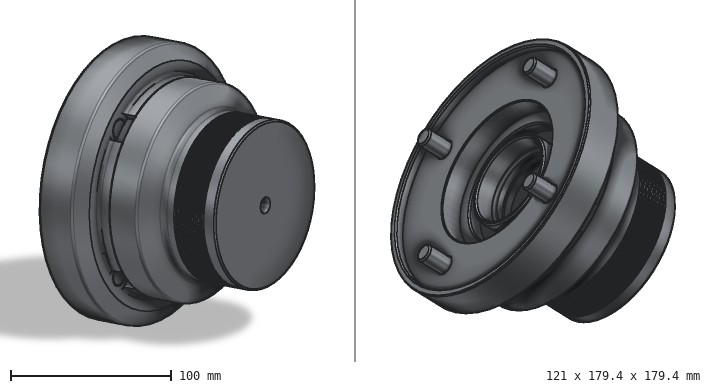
import cadquery as cq
import math


flange_radius = 89.7
flange_rear = 31.0
cone_angle = 60.0
flange_cone_start = 25.0
rim_chamfer_length = 1.0
rim_chamfer_depth = 0.5
shoulder_fillet = 2.0
edge_chamfer = 1.0

recess_radius = 84.8
recess_depth = 6.1
bore_radius = 49.5
ledge_x = 21.5
lip_bore_radius = 41.2
bore_chamfer = 0.7

collar_radius = 70.0
collar_rear = 39.6
collar_fillet = 2.2

pin_count = 4
pin_first_angle = 45.0
pin_circle_radius = 66.9
pin_radius = 6.0
pin_projection = 12.0
pin_chamfer = 1.0
pin_hole_radius = 6.6
pocket_radius = 10.0

spigot_radius = 64.7
spigot_front = flange_rear
spigot_fillet = 0.5
tail_front = 40.2
tail_cone_start = 60.2
neck_radius = 53.8
neck_fillet = 4.3
tail_end = 109.0

groove_count = 8
first_groove_x = 78.4
last_groove_x = 99.3
groove_top_width = 1.6
groove_floor_width = 0.7
groove_depth = 1.0

socket_radius = 29.0
socket_floor_x = 31.2
socket_fillet = 1.0
well_radius = 26.4
well_floor_x = 42.7
seal_groove_front = 35.9
seal_groove_width = 1.8
seal_groove_depth = 2.0
drain_radius = 5.2

sleeve_front = 16.0
sleeve_radius = 32.3
sleeve_seat_x = 29.4


cone_slope = math.tan(math.radians(cone_angle))
pin_angles = [pin_first_angle + i * 360 / pin_count for i in range(pin_count)]
pin_centers = [
    (pin_circle_radius * math.cos(math.radians(a)), pin_circle_radius * math.sin(math.radians(a)))
    for a in pin_angles
]


def fillet_ends(before, corner, after, radius):
    """Start, middle and end of the arc that rounds a corner between two straight stretches."""
    corner = cq.Vector(*corner)
    to_before = (cq.Vector(*before) - corner).normalized()
    to_after = (cq.Vector(*after) - corner).normalized()
    half_angle = to_before.getAngle(to_after) / 2
    tangent_length = radius / math.tan(half_angle)
    bisector = (to_before + to_after).normalized()
    start = corner + to_before * tangent_length
    middle = corner + bisector * (radius / math.sin(half_angle) - radius)
    end = corner + to_after * tangent_length
    return [point.toTuple()[:2] for point in (start, middle, end)]


def revolved(corners):
    """Solid of revolution about X. Each corner is (x, radius) or (x, radius, fillet radius)."""
    points = [corner[:2] for corner in corners]
    profile = cq.Workplane("XZ").moveTo(*points[0])
    for i in range(1, len(corners)):
        if len(corners[i]) == 2:
            profile = profile.lineTo(*points[i])
        else:
            after = points[(i + 1) % len(points)]
            start, middle, end = fillet_ends(points[i - 1], points[i], after, corners[i][2])
            profile = profile.lineTo(*start).threePointArc(middle, end)
    return profile.close().revolve(360, (0, 0, 0), (1, 0, 0))


def cylinders(x_start, x_end, radius, centers):
    """Cylinders parallel to X at the given (y, z) centers."""
    plane = cq.Workplane("YZ", origin=(x_start, 0, 0))
    return plane.pushPoints(centers).circle(radius).extrude(x_end - x_start)


def make_flange():
    cone_end_radius = flange_radius - (flange_rear - flange_cone_start) * cone_slope
    body = revolved(
        [
            (0, recess_radius + edge_chamfer),
            (0, flange_radius - rim_chamfer_depth),
            (rim_chamfer_length, flange_radius),
            (flange_cone_start, flange_radius, shoulder_fillet),
            (flange_rear, cone_end_radius),
            (flange_rear, collar_radius, collar_fillet),
            (collar_rear, collar_radius),
            (collar_rear, spigot_radius),
            (spigot_front, spigot_radius),
            (spigot_front, lip_bore_radius),
            (ledge_x + edge_chamfer, lip_bore_radius),
            (ledge_x, lip_bore_radius + edge_chamfer),
            (ledge_x, bore_radius),
            (recess_depth + bore_chamfer, bore_radius),
            (recess_depth, bore_radius + bore_chamfer),
            (recess_depth, recess_radius),
            (edge_chamfer, recess_radius),
        ]
    )
    holes = cylinders(recess_depth, flange_rear, pin_hole_radius, pin_centers)
    pockets = cylinders(flange_rear, collar_rear, pocket_radius, pin_centers)
    return body.cut(holes).cut(pockets)


def make_tail():
    cone_length = (collar_radius - neck_radius) / cone_slope
    body = revolved(
        [
            (sleeve_seat_x, drain_radius),
            (sleeve_seat_x, sleeve_radius),
            (spigot_front, sleeve_radius),
            (spigot_front, spigot_radius),
            (tail_front, spigot_radius, spigot_fillet),
            (tail_front, collar_radius),
            (tail_cone_start, collar_radius, shoulder_fillet),
            (tail_cone_start + cone_length, neck_radius, neck_fillet),
            (tail_end - edge_chamfer, neck_radius),
            (tail_end, neck_radius - edge_chamfer),
            (tail_end, drain_radius),
        ]
    )
    return body.cut(make_socket()).cut(make_seal_groove()).cut(make_neck_grooves())


def make_socket():
    """Stepped blind bore that opens at the top of the boss."""
    return revolved(
        [
            (sleeve_seat_x, 0),
            (sleeve_seat_x, socket_radius),
            (socket_floor_x, socket_radius, socket_fillet),
            (socket_floor_x, well_radius),
            (well_floor_x, well_radius),
            (well_floor_x, 0),
        ]
    )


def make_seal_groove():
    groove_outer = well_radius + seal_groove_depth
    groove_rear = seal_groove_front + seal_groove_width
    return revolved(
        [
            (seal_groove_front, 0),
            (seal_groove_front, groove_outer),
            (groove_rear, groove_outer),
            (groove_rear, 0),
        ]
    )


def make_neck_grooves():
    pitch = (last_groove_x - first_groove_x) / (groove_count - 1)
    floor_radius = neck_radius - groove_depth
    grooves = cq.Workplane()
    for i in range(groove_count):
        center = first_groove_x + i * pitch
        groove = revolved(
            [
                (center - groove_floor_width / 2, floor_radius),
                (center - groove_top_width / 2, neck_radius),
                (center + groove_top_width / 2, neck_radius),
                (center + groove_floor_width / 2, floor_radius),
            ]
        )
        grooves = grooves.add(groove)
    return grooves.combine()


def make_sleeve():
    return revolved(
        [
            (sleeve_front + edge_chamfer, socket_radius),
            (sleeve_front, socket_radius + edge_chamfer),
            (sleeve_front, sleeve_radius - edge_chamfer),
            (sleeve_front + edge_chamfer, sleeve_radius),
            (sleeve_seat_x, sleeve_radius),
            (sleeve_seat_x, socket_radius),
        ]
    )


def make_pin(center):
    pin = cylinders(-pin_projection, spigot_front, pin_radius, [center])
    return pin.faces("<X").chamfer(pin_chamfer)


flange = make_flange()
tail = make_tail()
sleeve = make_sleeve()
pins = [make_pin(center) for center in pin_centers]

result = cq.Compound.makeCompound(
    [flange.val(), tail.val(), sleeve.val(), *[pin.val() for pin in pins]]
)